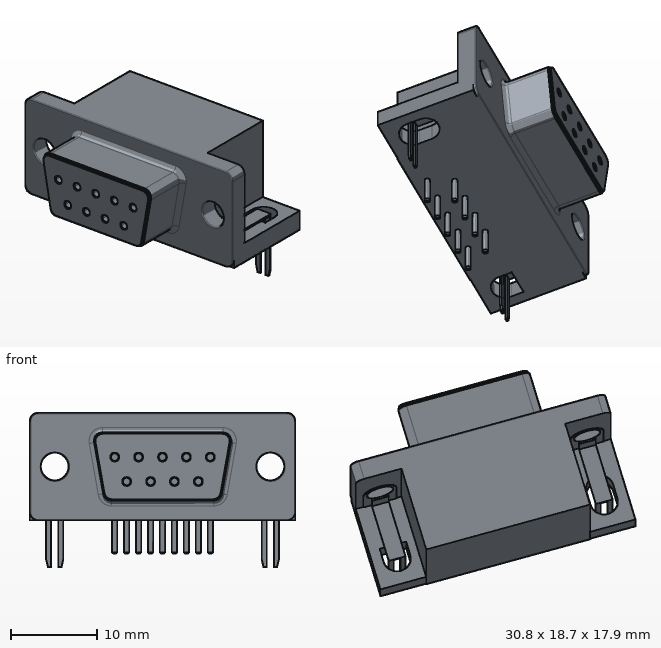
import cadquery as cq
import math


WIDTH = 30.8
HEIGHT = 12.47
DEPTH = 12.63
MID_HEIGHT = HEIGHT / 2
BLOCK_WIDTH = 19.77
WING_DEPTH = 12.57
WING_HEIGHT = 2.5
FLANGE_BACK = 2.3
CORNER_RADIUS = 1.0

PLATE_THICKNESS = 0.35
PLATE_EDGE_RADIUS = 0.1
HOLE_SPACING = 25.0
HOLE_DIAMETER = 3.2
HOLE_EDGE_RADIUS = 0.108

FACE_LENGTH = 6.1
SHELL_HEIGHT = 7.92
SHELL_MID_WIDTH = 14.9
SHELL_SLANT = 10.0
SHELL_CORNER_RADIUS = 1.0
SHELL_ROOT_RADIUS = 0.6
RIM_STEP_LENGTH = 0.2
RIM_STEP_INSET = 0.1
RIM_STEP_COUNT = 2

CONTACT_PITCH = 2.77
UPPER_ROW_COUNT = 5
LOWER_ROW_COUNT = 4
SOCKET_ROW_SPACING = 2.83
SOCKET_ROWS_MIDDLE_Z = 5.9
SOCKET_DIAMETER = 0.85
SOCKET_CHAMFER = 0.1
SOCKET_DEPTH = 5.55
PIN_DIAMETER = 0.65
PIN_LENGTH = 3.88
PIN_TIP_CHAMFER = 0.2
UPPER_ROW_PIN_Y = 10.85
LOWER_ROW_PIN_Y = 7.98

SHEET_THICKNESS = 0.25
TAB_WIDTH = 4.0
TAB_BACK = 2.37
STRIP_WIDTH = 2.03
STRIP_BACK = 2.6
STRIP_TOP = 4.62
ARM_TOP = 2.7
PRONG_BACK = 9.55
PRONG_LENGTH = 5.42
PRONG_GAP = 0.8
PRONG_TAPER_LENGTH = 0.92
PRONG_TAPER_INSET = 0.22

SLOT_WIDTH = 3.2
SLOT_BACK_CENTRE = 9.42
SLOT_FRONT_CENTRE = 7.75


def box(x_range, y_range, z_range):
    """Box spanning the given (low, high) pairs."""
    (x0, x1), (y0, y1), (z0, z1) = x_range, y_range, z_range
    return cq.Workplane("XY").box(x1 - x0, y1 - y0, z1 - z0, centered=False).translate((x0, y0, z0))


def centred(middle, width):
    """Low and high ends of a span centred on middle."""
    return middle - width / 2, middle + width / 2


def front_plane(y):
    """XZ plane at the given Y, centred on the faceplate, with its normal toward -Y."""
    return cq.Workplane("XZ", origin=(0, y, MID_HEIGHT))


def contact_xs(count):
    """X positions of a row of contacts centred on X = 0."""
    return [(i - (count - 1) / 2) * CONTACT_PITCH for i in range(count)]


def make_housing():
    block = box(centred(0, BLOCK_WIDTH), (PLATE_THICKNESS, DEPTH), (0, HEIGHT))
    wings = box(centred(0, WIDTH), (PLATE_THICKNESS, WING_DEPTH), (0, WING_HEIGHT))
    flange = box(centred(0, WIDTH), (PLATE_THICKNESS, FLANGE_BACK), (0, HEIGHT))
    flange = flange.edges("|Y and >Z").fillet(CORNER_RADIUS)
    return block.union(wings).union(flange)


def d_prism(y_back, length, inset=0.0):
    """D-shaped prism growing toward -Y, with its outline moved inward by inset."""
    slope = math.tan(math.radians(SHELL_SLANT))
    half_height = SHELL_HEIGHT / 2 - inset
    half_middle = SHELL_MID_WIDTH / 2 - inset / math.cos(math.radians(SHELL_SLANT))
    half_top = half_middle + half_height * slope
    half_bottom = half_middle - half_height * slope
    corners = [
        (-half_bottom, -half_height),
        (half_bottom, -half_height),
        (half_top, half_height),
        (-half_top, half_height),
    ]
    prism = front_plane(y_back).polyline(corners).close().extrude(length)
    return prism.edges("|Y").fillet(SHELL_CORNER_RADIUS - inset)


def make_front():
    """Faceplate with the shell, whose front end steps inward toward the mating face."""
    plate = front_plane(PLATE_THICKNESS).rect(WIDTH, HEIGHT).extrude(PLATE_THICKNESS)
    plate = plate.edges("|Y").fillet(CORNER_RADIUS)
    plate = plate.faces("<Y").edges().fillet(PLATE_EDGE_RADIUS)
    shell_length = FACE_LENGTH - RIM_STEP_COUNT * RIM_STEP_LENGTH
    shell = d_prism(PLATE_THICKNESS, PLATE_THICKNESS + shell_length)
    front = plate.union(shell)
    root_box = cq.selectors.BoxSelector(
        (CORNER_RADIUS - WIDTH / 2, -PLATE_EDGE_RADIUS, CORNER_RADIUS),
        (WIDTH / 2 - CORNER_RADIUS, PLATE_EDGE_RADIUS, HEIGHT - CORNER_RADIUS),
    )
    front = front.edges(root_box).fillet(SHELL_ROOT_RADIUS)
    for step in range(1, RIM_STEP_COUNT + 1):
        step_length = shell_length + step * RIM_STEP_LENGTH
        front = front.union(d_prism(0, step_length, inset=step * RIM_STEP_INSET))
    return front


def make_sockets():
    """Cutters for the chamfered contact holes in the mating face."""
    upper_z = SOCKET_ROWS_MIDDLE_Z + SOCKET_ROW_SPACING / 2 - MID_HEIGHT
    lower_z = upper_z - SOCKET_ROW_SPACING
    points = [(x, upper_z) for x in contact_xs(UPPER_ROW_COUNT)]
    points += [(x, lower_z) for x in contact_xs(LOWER_ROW_COUNT)]
    mouth = front_plane(-FACE_LENGTH).pushPoints(points)
    bores = mouth.circle(SOCKET_DIAMETER / 2).extrude(-SOCKET_DEPTH)
    mouth_radius = SOCKET_DIAMETER / 2 + SOCKET_CHAMFER
    chamfers = mouth.circle(mouth_radius).extrude(-SOCKET_CHAMFER, taper=45)
    return bores.union(chamfers)


def make_pin_row(count, y):
    points = [(x, y) for x in contact_xs(count)]
    pins = cq.Workplane("XY").pushPoints(points).circle(PIN_DIAMETER / 2).extrude(-PIN_LENGTH)
    return pins.faces("<Z").chamfer(PIN_TIP_CHAMFER)


def make_slot(x, front_is_round):
    """Cutter for the board-lock slot through a wing."""
    radius = SLOT_WIDTH / 2
    outline = (
        cq.Workplane("XY")
        .moveTo(x + radius, SLOT_FRONT_CENTRE)
        .lineTo(x + radius, SLOT_BACK_CENTRE)
        .threePointArc((x, SLOT_BACK_CENTRE + radius), (x - radius, SLOT_BACK_CENTRE))
        .lineTo(x - radius, SLOT_FRONT_CENTRE)
    )
    if front_is_round:
        outline = outline.threePointArc((x, SLOT_FRONT_CENTRE - radius), (x + radius, SLOT_FRONT_CENTRE))
    return outline.close().extrude(WING_HEIGHT)


def make_bracket(x):
    """Sheet-metal bracket: round-topped tab, stiff strip, arm along the wing and split prong."""
    tab_back_plane = cq.Workplane("XZ", origin=(x, TAB_BACK, 0))
    half_tab = TAB_WIDTH / 2
    tab = (
        tab_back_plane.moveTo(-half_tab, WING_HEIGHT)
        .lineTo(half_tab, WING_HEIGHT)
        .lineTo(half_tab, MID_HEIGHT)
        .threePointArc((0, MID_HEIGHT + half_tab), (-half_tab, MID_HEIGHT))
        .close()
        .extrude(SHEET_THICKNESS)
    )
    strip_span = centred(x, STRIP_WIDTH)
    arm_bottom = ARM_TOP - SHEET_THICKNESS
    strip = box(strip_span, (STRIP_BACK - SHEET_THICKNESS, STRIP_BACK), (arm_bottom, STRIP_TOP))
    arm = box(strip_span, (STRIP_BACK - SHEET_THICKNESS, PRONG_BACK), (arm_bottom, ARM_TOP))
    half_strip = STRIP_WIDTH / 2
    half_tip = half_strip - PRONG_TAPER_INSET
    taper_start = PRONG_TAPER_LENGTH - PRONG_LENGTH
    prong = (
        cq.Workplane("XZ", origin=(x, PRONG_BACK, 0))
        .polyline(
            [
                (-half_strip, ARM_TOP),
                (-half_strip, taper_start),
                (-half_tip, -PRONG_LENGTH),
                (half_tip, -PRONG_LENGTH),
                (half_strip, taper_start),
                (half_strip, ARM_TOP),
            ]
        )
        .close()
        .extrude(SHEET_THICKNESS)
    )
    gap_depth = (PRONG_BACK - SHEET_THICKNESS, PRONG_BACK)
    gap = box(centred(x, PRONG_GAP), gap_depth, (-PRONG_LENGTH, arm_bottom))
    return tab.union(strip).union(arm).union(prong.cut(gap))


def make_mounting_hole(x):
    """Cutter for a mounting hole whose front edge is rounded."""
    radius = HOLE_DIAMETER / 2
    mouth_radius = radius + HOLE_EDGE_RADIUS
    blend = HOLE_EDGE_RADIUS * (1 - math.sqrt(0.5))
    profile = (
        cq.Workplane("XY")
        .moveTo(0, 0)
        .lineTo(mouth_radius, 0)
        .threePointArc((radius + blend, blend), (radius, HOLE_EDGE_RADIUS))
        .lineTo(radius, TAB_BACK)
        .lineTo(0, TAB_BACK)
        .close()
    )
    return profile.revolve(360, (0, 0, 0), (0, 1, 0)).translate((x, 0, MID_HEIGHT))


result = make_housing().union(make_front()).cut(make_sockets())
result = result.union(make_pin_row(UPPER_ROW_COUNT, UPPER_ROW_PIN_Y))
result = result.union(make_pin_row(LOWER_ROW_COUNT, LOWER_ROW_PIN_Y))

for side in (-1, 1):
    hole_x = side * HOLE_SPACING / 2
    result = result.cut(make_slot(hole_x, front_is_round=side < 0))
    result = result.union(make_bracket(hole_x)).cut(make_mounting_hole(hole_x))